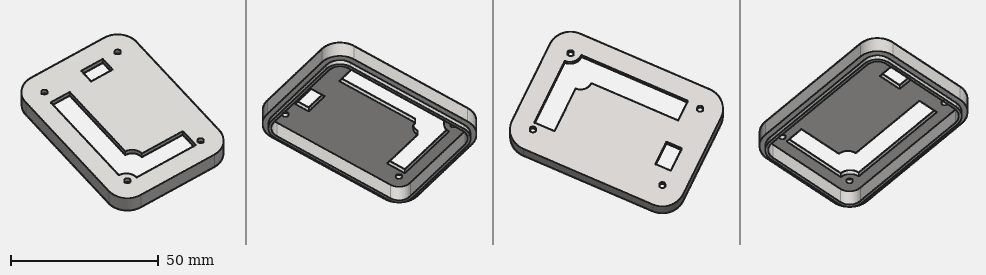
import cadquery as cq

length = 63.85
width = 46.1
height = 8.55
corner_radius = 7.8
plate_thickness = 2.0

lip_height = 2.0
lip_inset = 2.0

wall_thickness = 3.0

hole_diameter = 2.2
hole_x = length / 2 - corner_radius
hole_y = width / 2 - corner_radius

window_left = -19.15
window_right = 24.8
window_bottom = -16.15
window_top = 12.8
window_inner_x = 17.25
window_inner_y = -8.3
inner_notch_radius = 4.0
screw_tab_radius = 4.3

port_left = -24.5
port_right = -18.8
port_bottom = 0.4
port_top = 9.3


def rounded_block(inset, z_bottom, z_top):
    """Block that follows the lid outline at a constant inset."""
    return (
        cq.Workplane("XY", origin=(0, 0, z_bottom))
        .rect(length - 2 * inset, width - 2 * inset)
        .extrude(z_top - z_bottom)
        .edges("|Z")
        .fillet(corner_radius - inset)
    )


def full_height_box(x_min, x_max, y_min, y_max):
    """Rectangular block through the full height."""
    block = cq.Workplane("XY").box(x_max - x_min, y_max - y_min, height, centered=False)
    return block.translate((x_min, y_min, 0))


def full_height_cylinders(points, radius):
    """Round blocks through the full height, one at each point."""
    return cq.Workplane("XY").pushPoints(points).circle(radius).extrude(height)


def l_window():
    """L-shaped cutter, notched at its inner corner and short of the screw tab at its outer one."""
    lower_leg = full_height_box(window_left, window_right, window_bottom, window_inner_y)
    upper_leg = full_height_box(window_inner_x, window_right, window_bottom, window_top)
    notch = full_height_cylinders([(window_inner_x, window_inner_y)], inner_notch_radius)
    screw_tab = full_height_cylinders([(window_right, window_bottom)], screw_tab_radius)
    return lower_leg.union(upper_leg).union(notch).cut(screw_tab)


body = rounded_block(0, lip_height, height)
lip = rounded_block(lip_inset, 0, lip_height)
cavity = rounded_block(wall_thickness, 0, height - plate_thickness)
shell = body.union(lip).cut(cavity)

port = full_height_box(port_left, port_right, port_bottom, port_top)
hole_points = [(x, y) for x in (-hole_x, hole_x) for y in (-hole_y, hole_y)]
screw_holes = full_height_cylinders(hole_points, hole_diameter / 2)

result = shell.cut(l_window()).cut(port).cut(screw_holes)